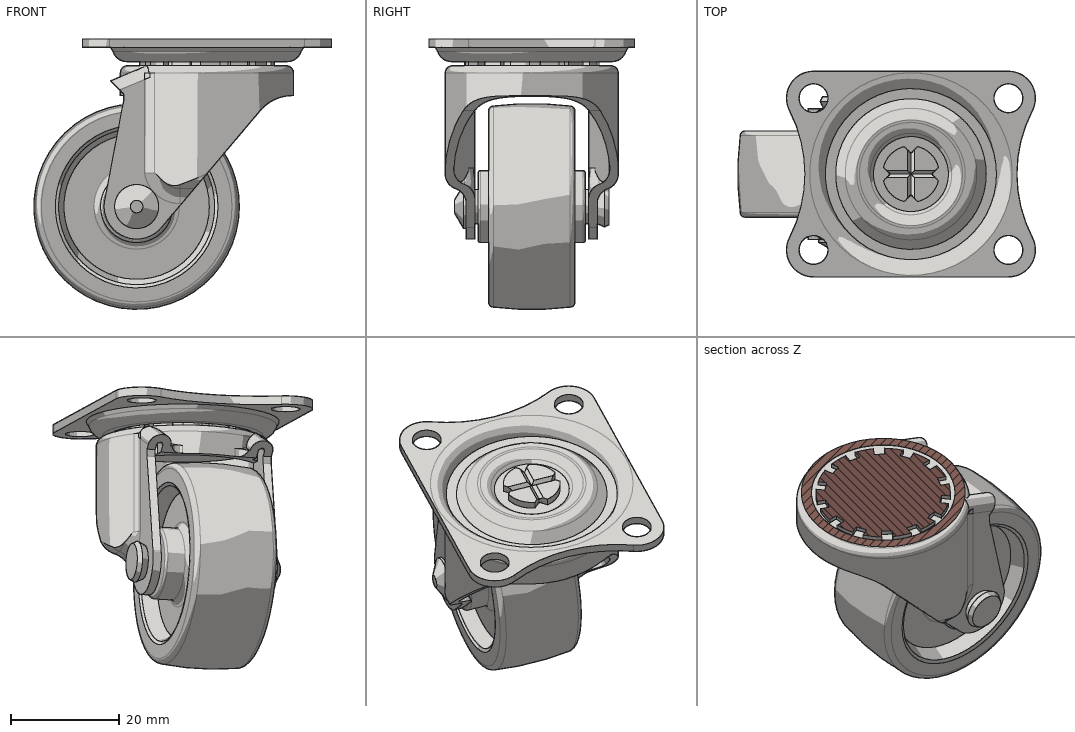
import cadquery as cq
import math


SHEET = 1.6

PLATE_LENGTH = 46.0
PLATE_WIDTH = 38.0
PLATE_CORNER_R = 5.0
PLATE_WAIST = 19.6
SCREW_HOLE_D = 5.3

DISH_RIM_R = 18.7
DISH_FLOOR_R = 15.8
DISH_BOTTOM_R = 14.8
DISH_DEPTH = 2.65
DISH_UNDER_R = 17.8
DISH_KNEE_R = 17.4
DISH_KNEE_Z = -2.35
CROWN_OUTER_R = 10.0
CROWN_INNER_R = 9.5
CROWN_OUTER_BEND = 3.0
CROWN_INNER_BEND = 2.8
DIMPLE_DEPTH = 1.45

PIN_R = 4.0
PIN_HEAD_R = 5.2
PIN_SHOULDER_R = 6.6
HEAD_GROOVE_WIDTH = 1.25
HEAD_NOTCH_WIDTH = 2.5
RACE_R = 12.45
RACE_TOP = -3.6
RACE_SLOTS = 14
RACE_SLOT_WIDTH = 2.0
RACE_SLOT_DEPTH = 1.65
RACE_FIRST_SLOT = 260.0

FORK_TOP = -4.95
FORK_R = 16.0
FORK_TOP_FILLET = 1.4
SKIRT_BOTTOM = -10.5
LEG_OUTER = 12.1
LEG_END_R = 6.0
LEG_BACK_X = -15.4
LEG_BACK_Z = -11.5
SKIRT_CORNER_X = 12.15
SKIRT_CORNER_R = 7.7
HORN_X = -5.0
HORN_Z = -23.8
HORN_R = 6.6
HORN_BOTTOM_WIDTH = 5.5
HORN_ROOT_FILLET = 2.95

RIDGE_Y = 9.9
RIDGE_TIP_X = -17.8
RIDGE_TIP_Z = -7.75
RIDGE_SLOPE = 22.6
RIDGE_ROOT_FILLET = 2.0
RIDGE_END_CUT = 45.0

AXLE_X = -13.0
AXLE_Z = -30.95
AXLE_R = 3.2
AXLE_HEAD_R = 4.05
AXLE_HEAD_LENGTH = 2.2
AXLE_HEAD_RIM = 0.5
AXLE_HEAD_TIP_R = 1.15
AXLE_UPSET_R = 3.8
AXLE_UPSET_END_R = 3.35
AXLE_UPSET_PEAK = 1.3

WHEEL_R = 19.05
WHEEL_HALF_WIDTH = 8.0
TREAD_EDGE_R = 18.6
TREAD_HALF_WIDTH = 7.1
TYRE_FACE_R = 17.6
RIM_FACE_R = 15.0
RIM_STEP_R = 14.4
RIM_STEP_DEPTH = 0.35
WEB_R = 13.4
WEB_DEPTH = 3.1
HUB_R = 6.65
HUB_HALF_WIDTH = 9.9
HUB_ROOT_FILLET = 1.2
HUB_TIP_FILLET = 0.45

LEG_INNER = LEG_OUTER - SHEET
CAVITY_R = FORK_R - SHEET
CAVITY_TOP = FORK_TOP - SHEET
DIMPLE_UNDERSIDE = -DIMPLE_DEPTH - SHEET
DIAGONAL = math.sqrt(0.5)
FAR = 33.0


def revolve_z(profile):
    """Turn a profile drawn as (radius, z) about the swivel axis."""
    return profile.close().revolve(360, (0, 0, 0), (0, 1, 0))


def along_axle(profile):
    """Turn a profile drawn as (radius, y) about the wheel axle."""
    turned = profile.close().revolve(360, (0, 0, 0), (0, 1, 0))
    return turned.translate((AXLE_X, 0, AXLE_Z))


def plate_blank():
    half_length = PLATE_LENGTH / 2
    half_width = PLATE_WIDTH / 2
    corner_x = half_length - PLATE_CORNER_R
    corner_y = half_width - PLATE_CORNER_R
    reach = PLATE_WAIST - PLATE_CORNER_R
    waist_x = (corner_x**2 + corner_y**2 - reach**2) / (2 * (corner_x - reach))
    lean = math.atan2(corner_y, waist_x - corner_x)
    join_x = corner_x + PLATE_CORNER_R * math.cos(lean)
    join_y = corner_y - PLATE_CORNER_R * math.sin(lean)
    return (
        cq.Workplane("XY")
        .moveTo(-corner_x, half_width)
        .lineTo(corner_x, half_width)
        .tangentArcPoint((join_x, join_y), relative=False)
        .threePointArc((PLATE_WAIST, 0), (join_x, -join_y))
        .tangentArcPoint((corner_x, -half_width), relative=False)
        .lineTo(-corner_x, -half_width)
        .tangentArcPoint((-join_x, -join_y), relative=False)
        .threePointArc((-PLATE_WAIST, 0), (-join_x, join_y))
        .tangentArcPoint((-corner_x, half_width), relative=False)
        .close()
        .extrude(-SHEET)
        .faces(">Z")
        .workplane()
        .rect(2 * corner_x, 2 * corner_y, forConstruction=True)
        .vertices()
        .hole(SCREW_HOLE_D)
    )


def crown_points(depth):
    """Bends of the raised centre on the sheet surface lying `depth` below its top surface."""
    outer_bend = CROWN_OUTER_BEND - depth
    inner_bend = CROWN_INNER_BEND - depth
    outer_r = CROWN_OUTER_R + outer_bend * DIAGONAL
    outer_z = -CROWN_OUTER_BEND + outer_bend * DIAGONAL
    inner_r = CROWN_INNER_R - inner_bend * DIAGONAL
    inner_z = -CROWN_INNER_BEND + inner_bend * DIAGONAL
    foot_z = -DISH_DEPTH - depth
    dimple_z = -DIMPLE_DEPTH - depth
    return {
        "foot": (outer_r + outer_z - foot_z, foot_z),
        "outer_bend": (outer_r, outer_z),
        "outer_crown": (CROWN_OUTER_R, -depth),
        "inner_crown": (CROWN_INNER_R, -depth),
        "inner_bend": (inner_r, inner_z),
        "dimple": (inner_r - inner_z + dimple_z, dimple_z),
    }


def arc_radius(width, height):
    """Radius of an arc that starts along the width and ends `height` off to the side."""
    return (width**2 + height**2) / (2 * height)


def plate_dish():
    top = crown_points(0)
    under = crown_points(SHEET)
    floor_z = -DISH_DEPTH
    under_z = floor_z - SHEET
    under_bend = arc_radius(DISH_KNEE_R - DISH_BOTTOM_R, DISH_KNEE_Z - under_z)
    under_middle = (
        DISH_BOTTOM_R + under_bend * DIAGONAL,
        under_z + under_bend * (1 - DIAGONAL),
    )
    rim_bend = arc_radius(DISH_RIM_R - DISH_FLOOR_R, DISH_DEPTH)
    rim_middle = (DISH_RIM_R - rim_bend * DIAGONAL, -rim_bend * (1 - DIAGONAL))
    return revolve_z(
        cq.Workplane("XZ")
        .moveTo(PIN_R, -DIMPLE_DEPTH)
        .lineTo(*top["dimple"])
        .lineTo(*top["inner_bend"])
        .tangentArcPoint(top["inner_crown"], relative=False)
        .lineTo(*top["outer_crown"])
        .tangentArcPoint(top["outer_bend"], relative=False)
        .lineTo(*top["foot"])
        .lineTo(DISH_FLOOR_R, floor_z)
        .threePointArc(rim_middle, (DISH_RIM_R, 0))
        .lineTo(DISH_RIM_R, -SHEET)
        .lineTo(DISH_UNDER_R, -SHEET)
        .lineTo(DISH_KNEE_R, DISH_KNEE_Z)
        .threePointArc(under_middle, (DISH_BOTTOM_R, under_z))
        .lineTo(*under["foot"])
        .lineTo(*under["outer_bend"])
        .tangentArcPoint(under["outer_crown"], relative=False)
        .lineTo(*under["inner_crown"])
        .tangentArcPoint(under["inner_bend"], relative=False)
        .lineTo(*under["dimple"])
        .lineTo(PIN_R, DIMPLE_UNDERSIDE)
    )


def make_plate():
    opening = cq.Workplane("XY").circle(DISH_RIM_R).extrude(-SHEET)
    return plate_blank().cut(opening).union(plate_dish())


def make_kingpin():
    pin = revolve_z(
        cq.Workplane("XZ")
        .moveTo(0, 0)
        .lineTo(PIN_HEAD_R, 0)
        .lineTo(PIN_HEAD_R, -DIMPLE_DEPTH)
        .lineTo(PIN_R, -DIMPLE_DEPTH)
        .lineTo(PIN_R, DIMPLE_UNDERSIDE)
        .lineTo(PIN_SHOULDER_R, DIMPLE_UNDERSIDE)
        .lineTo(PIN_SHOULDER_R, RACE_TOP)
        .lineTo(RACE_R, RACE_TOP)
        .lineTo(RACE_R, FORK_TOP)
        .lineTo(PIN_R, FORK_TOP)
        .lineTo(PIN_R, CAVITY_TOP)
        .lineTo(0, CAVITY_TOP)
    )
    half_groove = HEAD_GROOVE_WIDTH / 2
    groove = (
        cq.Workplane("YZ")
        .polyline([(-half_groove, 0), (half_groove, 0), (0, -half_groove)])
        .close()
        .extrude(PIN_HEAD_R)
    )
    half_notch = HEAD_NOTCH_WIDTH / 2
    notch_mouth = math.sqrt(PIN_HEAD_R**2 - half_notch**2)
    notch = (
        cq.Workplane("XY")
        .polyline([
            (notch_mouth - half_notch, 0),
            (notch_mouth + half_notch, 2 * half_notch),
            (notch_mouth + half_notch, -2 * half_notch),
        ])
        .close()
        .extrude(-DIMPLE_DEPTH)
    )
    arm = groove.union(notch)
    for quarter in range(4):
        pin = pin.cut(arm.rotate((0, 0, 0), (0, 0, 1), 90 * quarter))

    slots = (
        cq.Workplane("XY")
        .workplane(offset=FORK_TOP)
        .polarArray(RACE_R, RACE_FIRST_SLOT, 360, RACE_SLOTS)
        .rect(2 * RACE_SLOT_DEPTH, RACE_SLOT_WIDTH)
        .extrude(RACE_TOP - FORK_TOP)
    )
    return pin.cut(slots)


def leg_tangent_point(x, z, side):
    """Point where a line from (x, z) touches the rounded leg end, on the given side."""
    dx = x - AXLE_X
    dz = z - AXLE_Z
    angle = math.atan2(dz, dx) + side * math.acos(LEG_END_R / math.hypot(dx, dz))
    return (AXLE_X + LEG_END_R * math.cos(angle), AXLE_Z + LEG_END_R * math.sin(angle))


def side_outline():
    """Side silhouette of legs and horn, extruded over the full fork width."""
    back = leg_tangent_point(LEG_BACK_X, LEG_BACK_Z, 1)
    front = leg_tangent_point(SKIRT_CORNER_X, SKIRT_BOTTOM, -1)
    edge_angle = math.atan2(SKIRT_BOTTOM - front[1], SKIRT_CORNER_X - front[0])
    run = SKIRT_CORNER_R * math.tan(edge_angle / 2)
    bend_start = (
        SKIRT_CORNER_X - run * math.cos(edge_angle),
        SKIRT_BOTTOM - run * math.sin(edge_angle),
    )
    slope = math.tan(math.radians(RIDGE_SLOPE))
    drop = (LEG_OUTER - RIDGE_Y) / math.cos(math.radians(RIDGE_SLOPE))
    leg_top_z = RIDGE_TIP_Z + (LEG_BACK_X - RIDGE_TIP_X) * slope - drop
    crown_x = LEG_BACK_X + (CAVITY_TOP - leg_top_z) / slope
    return (
        cq.Workplane("XZ")
        .moveTo(LEG_BACK_X, leg_top_z)
        .lineTo(LEG_BACK_X, LEG_BACK_Z)
        .lineTo(*back)
        .threePointArc((AXLE_X, AXLE_Z - LEG_END_R), front)
        .lineTo(*bend_start)
        .tangentArcPoint((SKIRT_CORNER_X + run, SKIRT_BOTTOM), relative=False)
        .lineTo(FORK_R, SKIRT_BOTTOM)
        .lineTo(FORK_R, CAVITY_TOP)
        .lineTo(crown_x, CAVITY_TOP)
        .close()
        .extrude(FORK_R, both=True)
    )


def horn_zone(radius, start_y):
    """Room above the rounded horn bottom on the -Y side, outward from start_y."""
    end_y = start_y + FORK_R - LEG_OUTER
    end_radius = radius - HORN_BOTTOM_WIDTH
    middle_y = (start_y + end_y) / 2
    middle_radius = (radius + end_radius) / 2

    def section(top):
        """S-shaped section of the horn bottom in a plane across the fork, closed at height top."""
        return (
            cq.Workplane("YZ")
            .moveTo(-start_y, top)
            .lineTo(-end_y, top)
            .lineTo(-end_y, -end_radius)
            .threePointArc(s_bend(1), (-middle_y, -middle_radius))
            .threePointArc(s_bend(-1), (-start_y, -radius))
            .close()
        )

    turn = 2 * math.atan2(end_y - start_y, radius - end_radius)
    bend = (radius - end_radius) / (2 * math.sin(turn))

    def s_bend(side):
        """Middle of the outer (1) or inner (-1) bend."""
        half_length = bend * (math.sin(turn) - math.sin(turn / 2))
        half_height = bend * (math.cos(turn / 2) - math.cos(turn))
        return (-middle_y - side * half_height, -middle_radius + side * half_length)

    corner = section(0).revolve(360, (0, 0, 0), (1, 0, 0))
    front = section(FAR).extrude(FAR)
    back = (
        cq.Workplane("XZ", origin=(0, -start_y, 0))
        .rect(-radius, FAR, centered=False)
        .extrude(end_y - start_y)
    )
    return corner.union(front).union(back).translate((HORN_X, 0, HORN_Z))


def drum_root(face_y, side, fillet, backing):
    """Prism on the -Y side that rounds the inner corner between a flat face and the drum.

    The face lies face_y from the middle plane. The fillet is on its outer side (1) or its inner
    side (-1), and the prism reaches the depth `backing` into the sheet behind the face.
    """
    centre_y = face_y + side * fillet
    reach = FORK_R + fillet
    centre_x = -math.sqrt(reach**2 - centre_y**2)
    wall_x = centre_x * FORK_R / reach
    wall_y = centre_y * FORK_R / reach
    to_face = -side * math.pi / 2
    to_wall = math.atan2(-centre_y, -centre_x)
    bisector = (to_face + to_wall) / 2
    middle = (
        centre_x + fillet * math.cos(bisector),
        -(centre_y + fillet * math.sin(bisector)),
    )
    back_y = face_y - side * backing
    back_x = max(wall_x, -math.sqrt((FORK_R - backing) ** 2 - back_y**2))
    return (
        cq.Workplane("XY")
        .workplane(offset=FORK_TOP - FORK_TOP_FILLET)
        .moveTo(centre_x, -face_y)
        .threePointArc(middle, (wall_x, -wall_y))
        .lineTo(back_x, -back_y)
        .lineTo(centre_x, -back_y)
        .close()
        .extrude(-FAR)
    )


def both_sides(shape):
    return shape.union(shape.mirror("XZ"))


def fork_ridge():
    """Folded ridge on the -Y side: an upturned channel sloping down to its tip."""
    outer_r = LEG_OUTER - RIDGE_Y
    inner_r = outer_r - SHEET
    height = RIDGE_TIP_Z - SKIRT_BOTTOM
    length = (FORK_TOP - RIDGE_TIP_Z) / math.sin(math.radians(RIDGE_SLOPE))

    def channel(radius):
        arch_z = -outer_r
        return (
            cq.Workplane("YZ", origin=(-height, 0, 0))
            .moveTo(-RIDGE_Y - radius, -FORK_R)
            .lineTo(-RIDGE_Y - radius, arch_z)
            .threePointArc((-RIDGE_Y, arch_z + radius), (-RIDGE_Y + radius, arch_z))
            .lineTo(-RIDGE_Y + radius, -FORK_R)
            .close()
            .extrude(length + height)
        )

    ridge = channel(outer_r).cut(channel(inner_r))
    ridge = ridge.rotate((0, 0, 0), (0, 1, 0), -RIDGE_SLOPE)
    ridge = ridge.translate((RIDGE_TIP_X, 0, RIDGE_TIP_Z))
    arch_drop = outer_r / math.cos(math.radians(RIDGE_SLOPE))
    arch_start_z = RIDGE_TIP_Z - arch_drop
    arch_end_z = arch_start_z - RIDGE_TIP_X * math.tan(math.radians(RIDGE_SLOPE))
    below_arch = (
        cq.Workplane("XZ")
        .polyline([
            (RIDGE_TIP_X, arch_start_z),
            (0, arch_end_z),
            (0, -FAR),
            (RIDGE_TIP_X, -FAR),
        ])
        .close()
        .extrude(LEG_OUTER)
    )
    root = drum_root(RIDGE_Y - outer_r, -1, RIDGE_ROOT_FILLET, SHEET / 2)
    ridge = ridge.union(root.intersect(below_arch))
    run = height / math.tan(math.radians(RIDGE_END_CUT))
    keep = (
        cq.Workplane("XZ")
        .polyline([
            (RIDGE_TIP_X, RIDGE_TIP_Z),
            (RIDGE_TIP_X + run, SKIRT_BOTTOM),
            (0, SKIRT_BOTTOM),
            (0, FORK_TOP),
            (RIDGE_TIP_X, FORK_TOP),
        ])
        .close()
        .extrude(LEG_OUTER)
    )
    return ridge.intersect(keep)


def fork_cavity():
    """Hollow inside the sheet: the wheel slot, widened into both horns."""
    bore = cq.Workplane("XY").workplane(offset=CAVITY_TOP).circle(CAVITY_R).extrude(-FAR)
    slot = cq.Workplane("XY").box(2 * FAR, 2 * LEG_INNER, 4 * FAR)
    return bore.intersect(slot.union(both_sides(horn_zone(HORN_R - SHEET / 2, LEG_INNER))))


def make_fork():
    outline = side_outline()
    drum = cq.Workplane("XY").workplane(offset=FORK_TOP).circle(FORK_R).extrude(-FAR)
    drum = drum.rotate((0, 0, 0), (0, 0, 1), 180)
    drum = drum.faces(">Z").edges().fillet(FORK_TOP_FILLET)

    skirt_zone = cq.Workplane("XY").box(4 * FAR, 4 * FAR, -2 * SKIRT_BOTTOM)
    front_zone = cq.Workplane("XY").box(2 * FAR, 2 * LEG_OUTER, 4 * FAR).translate((FAR, 0, 0))
    horn_zones = both_sides(horn_zone(HORN_R, LEG_OUTER))
    shroud_zone = front_zone.union(horn_zones).intersect(outline)
    cavity = fork_cavity()
    shroud = drum.intersect(shroud_zone.union(skirt_zone)).cut(cavity)
    roots = both_sides(drum_root(LEG_OUTER, 1, HORN_ROOT_FILLET, SHEET)).intersect(horn_zones)
    leg_slab = cq.Workplane("XZ", origin=(0, -LEG_INNER, 0)).moveTo(-FAR, 0).rect(2 * FAR, 4 * FAR)
    leg_slab = leg_slab.extrude(SHEET)
    legs = outline.intersect(both_sides(leg_slab)).cut(cavity)
    ridges = both_sides(fork_ridge()).cut(cavity)

    fork = shroud.union(legs).union(roots).union(ridges)
    pin_hole = cq.Workplane("XY").circle(PIN_R).extrude(-FAR / 2)
    axle_hole = (
        cq.Workplane("XZ").center(AXLE_X, AXLE_Z).circle(AXLE_R).extrude(FAR, both=True)
    )
    return fork.cut(pin_hole).cut(axle_hole)


def make_axle():
    return along_axle(
        cq.Workplane("XY")
        .moveTo(0, -LEG_OUTER - AXLE_HEAD_LENGTH)
        .lineTo(AXLE_HEAD_TIP_R, -LEG_OUTER - AXLE_HEAD_LENGTH)
        .lineTo(AXLE_HEAD_R, -LEG_OUTER - AXLE_HEAD_RIM)
        .lineTo(AXLE_HEAD_R, -LEG_OUTER)
        .lineTo(AXLE_R, -LEG_OUTER)
        .lineTo(AXLE_R, LEG_OUTER)
        .lineTo(AXLE_UPSET_R, LEG_OUTER + AXLE_UPSET_PEAK)
        .lineTo(AXLE_UPSET_END_R, LEG_OUTER + AXLE_HEAD_LENGTH)
        .lineTo(0, LEG_OUTER + AXLE_HEAD_LENGTH)
    )


def make_wheel():
    web_y = WHEEL_HALF_WIDTH - WEB_DEPTH
    tip_y = HUB_HALF_WIDTH - HUB_TIP_FILLET
    root_y = web_y + HUB_ROOT_FILLET
    step_y = WHEEL_HALF_WIDTH - RIM_STEP_DEPTH
    edge_middle = (
        TYRE_FACE_R + (TREAD_EDGE_R - TYRE_FACE_R) * DIAGONAL,
        -TREAD_HALF_WIDTH - (WHEEL_HALF_WIDTH - TREAD_HALF_WIDTH) * DIAGONAL,
    )
    return along_axle(
        cq.Workplane("XY")
        .moveTo(AXLE_R, -HUB_HALF_WIDTH)
        .lineTo(AXLE_R, HUB_HALF_WIDTH)
        .lineTo(HUB_R - HUB_TIP_FILLET, HUB_HALF_WIDTH)
        .tangentArcPoint((HUB_R, tip_y), relative=False)
        .lineTo(HUB_R, root_y)
        .tangentArcPoint((HUB_R + HUB_ROOT_FILLET, web_y), relative=False)
        .lineTo(WEB_R, web_y)
        .lineTo(RIM_STEP_R, step_y)
        .lineTo(RIM_FACE_R, WHEEL_HALF_WIDTH)
        .lineTo(TYRE_FACE_R, WHEEL_HALF_WIDTH)
        .threePointArc((edge_middle[0], -edge_middle[1]), (TREAD_EDGE_R, TREAD_HALF_WIDTH))
        .threePointArc((WHEEL_R, 0), (TREAD_EDGE_R, -TREAD_HALF_WIDTH))
        .threePointArc(edge_middle, (TYRE_FACE_R, -WHEEL_HALF_WIDTH))
        .lineTo(RIM_FACE_R, -WHEEL_HALF_WIDTH)
        .lineTo(RIM_STEP_R, -step_y)
        .lineTo(WEB_R, -web_y)
        .lineTo(HUB_R + HUB_ROOT_FILLET, -web_y)
        .tangentArcPoint((HUB_R, -root_y), relative=False)
        .lineTo(HUB_R, -tip_y)
        .tangentArcPoint((HUB_R - HUB_TIP_FILLET, -HUB_HALF_WIDTH), relative=False)
    )


plate = make_plate()
kingpin = make_kingpin()
fork = make_fork()
axle = make_axle()
wheel = make_wheel()

result = cq.Compound.makeCompound([
    plate.val(),
    kingpin.val(),
    fork.val(),
    axle.val(),
    wheel.val(),
])